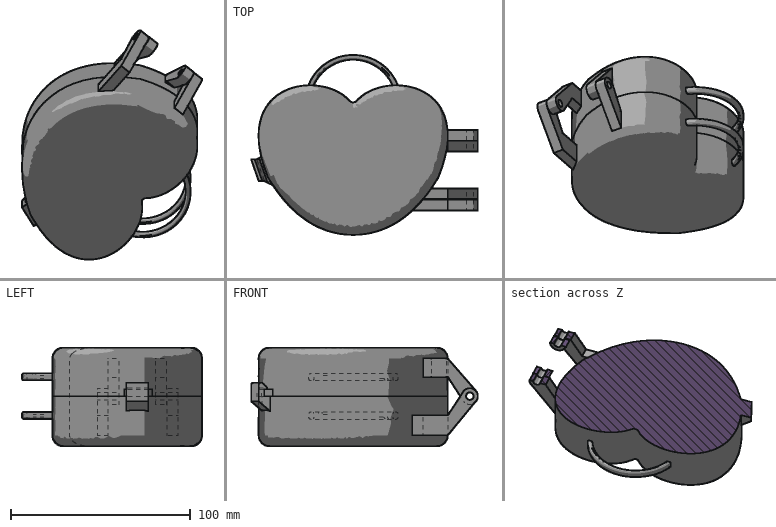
import cadquery as cq
import math

notch = (0.0, 22.0)
notch_control = (13.5, 43.0)
lobe_control = (70.1, 36.9)
seam = (47.4, -18.3)
point_control = (31.6, -45.0)
tip_control = (12.8, -50.3)
tip = (0.0, tip_control[1])
notch_overrun = 0.8

lid_height = 27.0
base_height = 27.9
rim_radius = 6.1
notch_radius = 2.5
case_room = 252.8

ring_top_y = 50.0
ring_outer_radius = 26.8
ring_width = 2.8
ring_height = 4.0
ring_round = 1.3
lid_ring_z = 10.7
base_ring_z = -10.7

pin_x = 65.0
pin_hole_radius = 2.0
lid_boss_radius = 4.5
base_boss_radius = 4.4
arm_root_x = 25.3
arm_knee_x = 52.7
arm_width = 6.1
arm_inner_z = 10.6
back_joint_y = 2.1
front_joint_y = -30.3
front_joint_gap = 0.3

latch_outer_x = -56.9
latch_back_y = -8.1
latch_front_y = -20.3
latch_lean = math.radians(19.3)
latch_depth = 6.0
latch_root_depth = 9.7
latch_top_z = 7.5
latch_round = 1.3
latch_flat = 1.9
lip_depth = 4.4
lip_slope_z = 4.8
slope_top_z = -2.9
slope_bottom_z = -8.3

catch_depth = 2.9
catch_height = 3.9
catch_reach = 7.6
catch_flare = math.radians(25.0)


def heart_half(height):
    """Half of the heart at +X, standing on Z = 0, with its upper rim rounded."""
    overrun = (
        notch[0] - notch_overrun * (notch_control[0] - notch[0]),
        notch[1] - notch_overrun * (notch_control[1] - notch[1]),
    )
    outline = (
        cq.Workplane("XY")
        .moveTo(*overrun)
        .lineTo(*notch)
        .bezier([notch, notch_control, lobe_control, seam])
        .bezier([seam, point_control, tip_control, tip])
        .lineTo(overrun[0], tip[1])
        .close()
    )
    rounded = outline.extrude(height).faces(">Z").edges("not(<X)").fillet(rim_radius)
    plus_x_side = cq.Workplane("XY").box(case_room, case_room, case_room, centered=(False, True, True))
    return rounded.intersect(plus_x_side)


def heart_block(height):
    """Full heart standing on Z = 0, with the valley that runs up from its notch blended."""
    half = heart_half(height)
    heart = half.union(half.mirror("YZ"))
    notch_edge = cq.selectors.NearestToPointSelector((*notch, height / 2))
    return heart.edges(notch_edge).fillet(notch_radius)


def tangent_point(start, center, radius, turn):
    """Point where a line from start touches a circle; turn +1 or -1 picks which of the two."""
    way_back = math.atan2(start[1] - center[1], start[0] - center[0])
    angle = way_back + turn * math.acos(radius / math.dist(start, center))
    return (center[0] + radius * math.cos(angle), center[1] + radius * math.sin(angle))


def hinge_arm(back_y, side, outer_z, boss_radius):
    """Cranked arm from the case to the hinge axis; side is +1 above Z = 0 and -1 below."""
    pin = (pin_x, 0.0)
    outer_knee = (arm_knee_x, side * outer_z)
    inner_knee = (arm_knee_x, side * arm_inner_z)
    plane = cq.Workplane("XZ", origin=(0, back_y, 0))
    crank = (
        plane.moveTo(arm_root_x, side * outer_z)
        .lineTo(*outer_knee)
        .lineTo(*tangent_point(outer_knee, pin, boss_radius, -side))
        .lineTo(*pin)
        .lineTo(*tangent_point(inner_knee, pin, boss_radius, side))
        .lineTo(*inner_knee)
        .lineTo(arm_root_x, side * arm_inner_z)
        .close()
        .extrude(arm_width)
    )
    boss = plane.center(*pin).circle(boss_radius).extrude(arm_width)
    hole = plane.center(*pin).circle(pin_hole_radius).extrude(arm_width)
    return crank.union(boss).cut(hole)


def catch_bar():
    """Bar on the lid wall that the latch grips, flaring out towards the wall."""
    length = latch_back_y - latch_front_y
    back_x = latch_outer_x + catch_depth / math.cos(latch_lean)
    front_x = back_x + length * math.tan(latch_lean)
    flare = catch_reach * math.tan(catch_flare)
    corners = [
        (back_x, latch_back_y),
        (front_x, latch_front_y),
        (front_x + catch_reach, latch_front_y - flare),
        (back_x + catch_reach, latch_back_y + flare),
    ]
    return cq.Workplane("XY").polyline(corners).close().extrude(catch_height)


def latch_hook():
    """Hook rising from the base wall, with its lip over the catch."""
    inward = (math.cos(latch_lean), math.sin(latch_lean), 0)
    along_wall = (math.sin(latch_lean), -math.cos(latch_lean), 0)
    length = latch_back_y - latch_front_y
    hook_plane = cq.Plane((latch_outer_x, latch_back_y, 0), xDir=inward, normal=along_wall)
    profile = [
        (0, slope_top_z),
        (0, latch_top_z - latch_round),
        (latch_round, latch_top_z),
        (latch_flat, latch_top_z),
        (lip_depth, lip_slope_z),
        (lip_depth, catch_height),
        (catch_depth, catch_height),
        (catch_depth, 0),
        (latch_root_depth, 0),
        (latch_root_depth, slope_bottom_z),
        (latch_depth, slope_bottom_z),
    ]
    round_middle = latch_round * (1 - math.sqrt(0.5))
    hook = (
        cq.Workplane(hook_plane)
        .polyline(profile[:2])
        .threePointArc((round_middle, latch_top_z - round_middle), profile[2])
    )
    for point in profile[3:]:
        hook = hook.lineTo(*point)
    ends = cq.Workplane("XY", origin=(0, latch_front_y, 0)).box(
        case_room, length, case_room, centered=(True, False, True)
    )
    return hook.close().extrude(2 * length, both=True).intersect(ends)


def carrying_ring(middle_z, case):
    """Flat ring around the notch, kept only where it stands clear of the case."""
    ring = (
        cq.Workplane("XY", origin=(0, ring_top_y - ring_outer_radius, middle_z - ring_height / 2))
        .circle(ring_outer_radius)
        .circle(ring_outer_radius - ring_width)
        .extrude(ring_height)
        .edges()
        .fillet(ring_round)
    )
    return ring.cut(case)


def case_lid():
    """Upper half of the case, with its hinge arms and the catch."""
    lid = heart_block(lid_height)
    for back_y in (back_joint_y, front_joint_y + arm_width):
        lid = lid.union(hinge_arm(back_y, 1, lid_height - rim_radius, lid_boss_radius))
    return lid.union(catch_bar())


def case_base():
    """Lower half of the case, with its hinge arms outside the lid's and the latch."""
    base = heart_block(base_height).mirror("XY")
    for back_y in (back_joint_y + arm_width, front_joint_y - front_joint_gap):
        base = base.union(hinge_arm(back_y, -1, base_height - rim_radius, base_boss_radius))
    return base.union(latch_hook())


lid = case_lid()
base = case_base()
lid_ring = carrying_ring(lid_ring_z, lid)
base_ring = carrying_ring(base_ring_z, base)

result = cq.Compound.makeCompound([lid.val(), base.val(), lid_ring.val(), base_ring.val()])